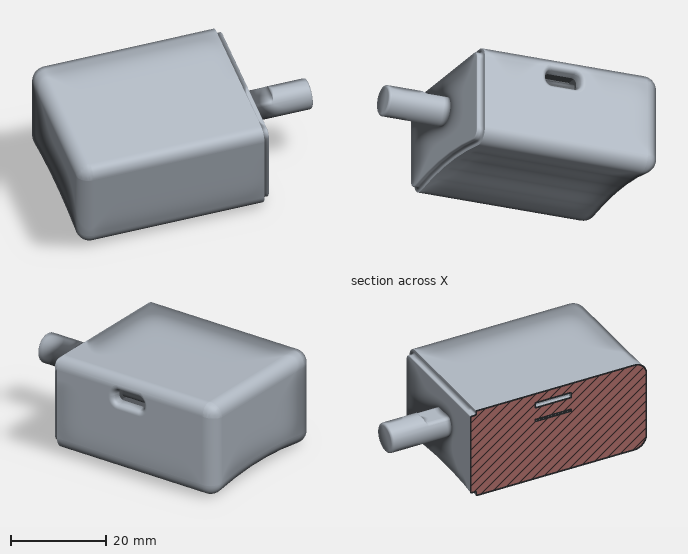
import cadquery as cq
import math

total_length = 56.25
body_width = 35.3
body_height = 21.55
body_length = 40.8
edge_radius = 3.0
top_edge_radius = 2.55
saddle_radius = 83.25

lip_inset = 1.0
lip_length = 1.35
lip_root_radius = 0.35
lip_rim_radius = 0.2

shaft_diameter = 6.7
shaft_z = 12.75
shaft_tip_radius = 0.5
flat_depth = 1.0
flat_edge_radius = 1.0
flat_end_y = 47.25

port_y = 22.4
port_z = 16.95
mouth_length = 8.5
mouth_height = 3.8
mouth_corner_radius = 1.65
mouth_depth = 2.25
mouth_taper = 12.0
mouth_rim_radius = 0.9
chamber_depth = 6.75
chamber_height = 4.5

bar_depth = 3.95
bar_height = 3.05
bar_top_z = 18.05
bar_nose_radius = 1.0

half_width = body_width / 2
corner_x = half_width - edge_radius
saddle_drop = math.sqrt((saddle_radius + edge_radius) ** 2 - corner_x**2)
saddle_center_z = edge_radius - saddle_drop

lip_end_y = body_length + lip_length
shaft_radius = shaft_diameter / 2
flat_z = shaft_z + shaft_radius - flat_depth
shoulder_radius = flat_depth / 2


def saddle_block(inset, start_y, end_y):
    """Sharp-edged block with a concave underside, inset from the body outline on all sides."""
    half = half_width - inset
    top_z = body_height - inset
    arc_radius = saddle_radius + inset
    middle_z = saddle_center_z + arc_radius
    side_z = saddle_center_z + math.sqrt(arc_radius**2 - half**2)
    return (
        cq.Workplane("XZ", origin=(0, start_y, 0))
        .moveTo(-half, side_z)
        .radiusArc((0, middle_z), arc_radius)
        .radiusArc((half, side_z), arc_radius)
        .lineTo(half, top_z)
        .lineTo(-half, top_z)
        .close()
        .extrude(start_y - end_y)
    )


def round_long_edges(block, inset):
    """Round the four edges along Y, concentric with those of the body."""
    rounded = block.edges("|Y and <Z").fillet(edge_radius - inset)
    return rounded.edges("|Y and >Z").fillet(top_edge_radius - inset)


def make_body():
    body = round_long_edges(saddle_block(0, 0, body_length), 0)
    return body.faces("<Y").edges().fillet(edge_radius)


def add_lip(body):
    """Inset lip on the rear face, with a small fillet at its root and around its rim."""
    lip = round_long_edges(saddle_block(lip_inset, body_length - lip_length, lip_end_y), lip_inset)
    lip = lip.faces(">Y").edges().fillet(lip_rim_radius)
    joined = body.union(lip)
    step = joined.faces("|Y").faces(cq.selectors.CenterNthSelector(cq.Vector(0, 1, 0), -2))
    return step.wires(cq.selectors.LengthNthSelector(0)).edges().fillet(lip_root_radius)


def make_shaft():
    """Round shaft with a flat along the top of its neck that ends in an S-shaped shoulder."""
    head = (
        cq.Workplane("XZ", origin=(0, flat_end_y, shaft_z))
        .circle(shaft_radius)
        .extrude(flat_end_y - total_length)
        .faces(">Y").edges().fillet(shaft_tip_radius)
    )
    above_shoulder = (
        cq.Workplane("YZ", origin=(0, flat_end_y, flat_z))
        .radiusArc((shoulder_radius, shoulder_radius), -shoulder_radius)
        .radiusArc((2 * shoulder_radius, flat_depth), shoulder_radius)
        .lineTo(0, flat_depth)
        .close()
        .extrude(shaft_radius, both=True)
    )
    neck = (
        cq.Workplane("XZ", origin=(0, body_length, shaft_z))
        .circle(shaft_radius)
        .extrude(body_length - flat_end_y)
    )
    above_flat = cq.Workplane("XY", origin=(0, body_length, flat_z)).box(
        2 * shaft_radius, flat_end_y - body_length, flat_depth, centered=(True, False, False))
    neck = neck.cut(above_flat).edges("|Y and >Z").fillet(flat_edge_radius)
    return neck.union(head.cut(above_shoulder))


def port_box(start_depth, height, center_z):
    """Block as long as the mouth, from a depth below the -X side to the far wall of the chamber."""
    middle_depth = (start_depth + chamber_depth) / 2
    return cq.Workplane("XY", origin=(middle_depth - half_width, port_y, center_z)).box(
        chamber_depth - start_depth, mouth_length, height)


def cut_port(body):
    """Tapered mouth in the -X side, leading to a chamber with a round-nosed bar in it."""
    outline = cq.Sketch().rect(mouth_length, mouth_height).vertices().fillet(mouth_corner_radius)
    mouth = (
        cq.Workplane("YZ", origin=(-half_width, port_y, port_z))
        .placeSketch(outline)
        .extrude(mouth_depth, taper=mouth_taper)
    )
    opened = body.cut(mouth)
    rim = opened.edges(cq.selectors.BoxSelector(
        (-half_width - mouth_rim_radius, port_y - mouth_length, port_z - mouth_height),
        (-half_width + mouth_rim_radius, port_y + mouth_length, port_z + mouth_height)))
    chamber = port_box(mouth_depth, chamber_height, port_z)
    bar = port_box(bar_depth, bar_height, bar_top_z - bar_height / 2)
    bar = bar.edges("|Y and <X").fillet(bar_nose_radius)
    return rim.fillet(mouth_rim_radius).cut(chamber.cut(bar))


result = add_lip(cut_port(make_body())).union(make_shaft())